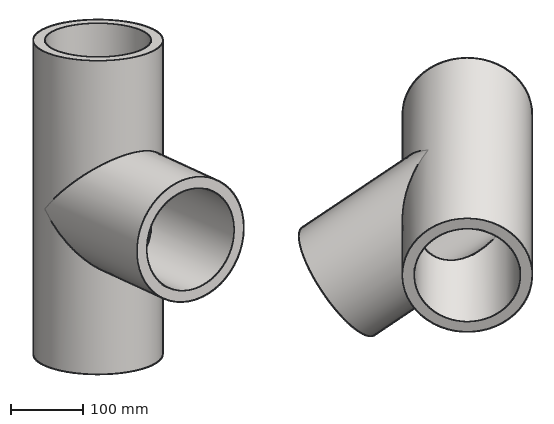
import cadquery as cq

run_length = 458.0
outer_diameter = 180.0
bore_diameter = 147.0
overall_width = 315.0
branch_reach = overall_width - outer_diameter / 2


def tee_cylinders(diameter):
    """Run and branch cylinders of one diameter, joined into a solid tee."""
    run = cq.Workplane("XY").circle(diameter / 2).extrude(run_length / 2, both=True)
    branch = cq.Workplane("YZ").circle(diameter / 2).extrude(branch_reach)
    return run.union(branch)


result = tee_cylinders(outer_diameter).cut(tee_cylinders(bore_diameter))